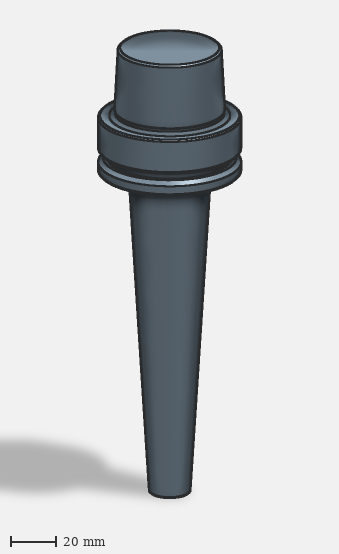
import cadquery as cq

total_height = 208.0
flange_radius = 31.5
flange_top = 176.0
flange_bottom = 149.9
flange_chamfer = 0.8

groove_radius = 27.5
groove_top = 159.9
groove_bottom = 156.5
groove_top_chamfer = 1.2
groove_bottom_chamfer = 2.0

shank_top_radius = 22.9
shank_base_radius = 24.3
shank_base = 179.0
shank_chamfer = 1.0

neck_radius = 24.1
neck_top = 178.5
neck_flare_radius = 26.6
neck_flare_height = 1.2

arm_top_radius = 18.0
arm_flare = 2.5
arm_tip_radius = 9.1
tip_chamfer = 0.6


def half_profile():
    """Closed radius-height outline, from the tip up to the shank end."""
    return (
        cq.Workplane("XZ")
        .moveTo(0, 0)
        .lineTo(arm_tip_radius - tip_chamfer, 0)
        .lineTo(arm_tip_radius, tip_chamfer)
        .lineTo(arm_top_radius, flange_bottom - arm_flare)
        .lineTo(arm_top_radius + arm_flare, flange_bottom)
        .lineTo(flange_radius - flange_chamfer, flange_bottom)
        .lineTo(flange_radius, flange_bottom + flange_chamfer)
        .lineTo(flange_radius, groove_bottom - groove_bottom_chamfer)
        .lineTo(flange_radius - groove_bottom_chamfer, groove_bottom)
        .lineTo(groove_radius, groove_bottom)
        .lineTo(groove_radius, groove_top)
        .lineTo(flange_radius - groove_top_chamfer, groove_top)
        .lineTo(flange_radius, groove_top + groove_top_chamfer)
        .lineTo(flange_radius, flange_top - flange_chamfer)
        .lineTo(flange_radius - flange_chamfer, flange_top)
        .lineTo(neck_flare_radius, flange_top)
        .lineTo(neck_radius, flange_top + neck_flare_height)
        .lineTo(neck_radius, neck_top)
        .lineTo(shank_base_radius, shank_base)
        .lineTo(shank_top_radius, total_height - shank_chamfer)
        .lineTo(shank_top_radius - shank_chamfer, total_height)
        .lineTo(0, total_height)
        .close()
    )


result = half_profile().revolve(360, (0, 0, 0), (0, 1, 0))